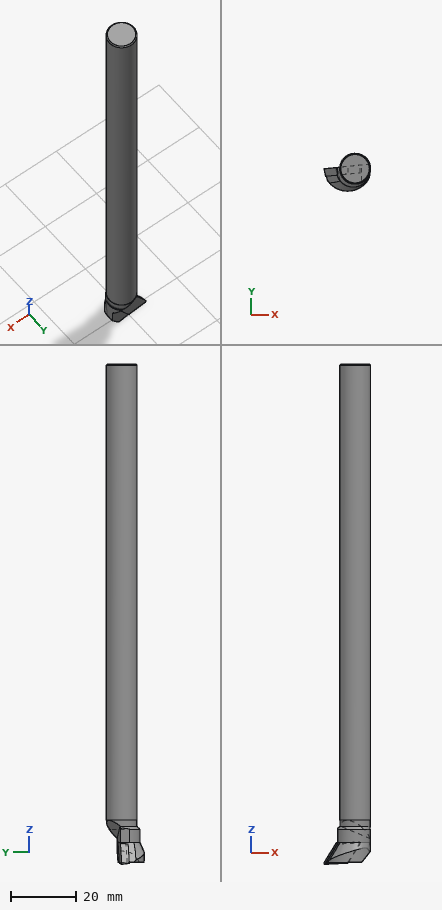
import cadquery as cq
import math


overall_length = 153.65
overall_width = 14.38
overall_depth = 11.68
shank_diameter = 9.51
shank_radius = shank_diameter / 2
shank_bottom = 13.6
top_chamfer = 0.4
neck_diameter = 9.36
neck_bottom = 11.7

head_top = 10.8
head_bottom = 6.7
head_radius = 5.2
head_x = -0.6
head_y = -0.45
side_flat_x = -5.4

holder_bottom = 0.6
foot_radius = 4.78
flare_radius = 6.8
flare_x = -2.15
flare_y = -1.55
sweep_radius = 7.4
sweep_x = -2.3
sweep_back_y = shank_radius - overall_depth
sweep_y = sweep_back_y + sweep_radius
heel_height = 3.5
heel_width = 2.75

chip_face_tilt = 5.7
ramp_height = 9.1
ramp_rise_y = 0.80
ramp_fall_x = 0.50

insert_inscribed_radius = 6.35 / 2
insert_thickness = 2.38
insert_angle = 55.0
insert_clearance = 7.0
end_edge_angle = 3.0
side_edge_angle = end_edge_angle + insert_angle
nose_radius = 0.4
tip_x = foot_radius - overall_width
side_relief = 0.1

cut_size = 40.0

tilt = math.radians(chip_face_tilt)
chip_plane = cq.Plane(
    origin=(tip_x, 0, 0),
    xDir=(math.cos(tilt), math.sin(tilt), 0),
    normal=(math.sin(tilt), -math.cos(tilt), 0),
)


def disc(radius, x, y, bottom, top):
    """Upright cylinder between two heights."""
    return cq.Workplane("XY", origin=(x, y, bottom)).circle(radius).extrude(top - bottom)


def tapered_disc(upper, lower):
    """Solid between two circles, each given as (radius, x, y, z)."""
    wires = [
        cq.Wire.makeCircle(radius, cq.Vector(x, y, z), cq.Vector(0, 0, 1))
        for radius, x, y, z in (upper, lower)
    ]
    return cq.Workplane(cq.Solid.makeLoft(wires, True))


def half_space(point, normal):
    """Large block whose one face passes through the point, on the side the normal points to."""
    plane = cq.Plane(origin=point, normal=normal)
    return cq.Workplane(plane).rect(2 * cut_size, 2 * cut_size).extrude(cut_size)


def insert_outline():
    """Rounded rhombus of the insert's rake face, in the chip plane."""
    core_radius = insert_inscribed_radius - nose_radius
    side = core_radius * 2 / math.sin(math.radians(insert_angle))
    end_edge = math.radians(end_edge_angle)
    side_edge = math.radians(side_edge_angle)
    start = (nose_radius, nose_radius)
    along_end = (side * math.cos(end_edge), side * math.sin(end_edge))
    along_side = (side * math.cos(side_edge), side * math.sin(side_edge))
    corners = [
        start,
        (start[0] + along_end[0], start[1] + along_end[1]),
        (start[0] + along_end[0] + along_side[0], start[1] + along_end[1] + along_side[1]),
        (start[0] + along_side[0], start[1] + along_side[1]),
    ]
    return cq.Workplane(chip_plane).polyline(corners).close().offset2D(nose_radius)


def make_insert():
    """Rhombic plate that narrows away from its rake face."""
    return insert_outline().extrude(insert_thickness, taper=insert_clearance)


def make_flare():
    """Flared foot, trimmed by the upright cylinder and the side relief."""
    flare = tapered_disc(
        (head_radius, head_x, head_y, head_bottom),
        (flare_radius, flare_x, flare_y, holder_bottom),
    )
    flare = flare.intersect(disc(sweep_radius, sweep_x, sweep_y, holder_bottom, head_bottom))
    side_edge = math.radians(side_edge_angle)
    outward = (-math.sin(side_edge), math.cos(side_edge))
    edge_distance = nose_radius - side_relief
    side_point = chip_plane.toWorldCoords(
        (nose_radius + edge_distance * outward[0], nose_radius + edge_distance * outward[1])
    )
    side_lean = math.tan(math.radians(insert_clearance))
    side_normal = chip_plane.toWorldCoords((outward[0], outward[1], side_lean)) - chip_plane.origin
    return flare.cut(half_space(side_point, side_normal))


def heel_space():
    """Space beyond the sloping heel."""
    heel_point = (foot_radius, 0, holder_bottom + heel_height)
    return half_space(heel_point, (heel_height, 0, -heel_width))


def chip_space():
    """Space in front of the chip face, closed above by the ramp."""
    front = half_space(chip_plane.origin, -chip_plane.zDir)
    below_ramp = half_space((0, 0, ramp_height), (-ramp_fall_x, ramp_rise_y, -1))
    return front.intersect(below_ramp)


def make_holder():
    """Shank, neck and flared head in one piece, with the pocket for the insert."""
    shank = disc(shank_radius, 0, 0, shank_bottom, overall_length)
    shank = shank.faces(">Z").chamfer(top_chamfer)
    neck = disc(neck_diameter / 2, 0, 0, neck_bottom, shank_bottom)
    shoulder = tapered_disc(
        (neck_diameter / 2, 0, 0, neck_bottom),
        (head_radius, head_x, head_y, head_top),
    )
    head = disc(head_radius, head_x, head_y, head_bottom, head_top)
    upper = shoulder.union(head).cut(half_space((side_flat_x, 0, 0), (-1, 0, 0)))
    core = disc(foot_radius, 0, 0, holder_bottom, head_top)
    foot = upper.union(core).union(make_flare()).cut(heel_space())
    holder = shank.union(neck).union(foot).cut(chip_space())
    return holder.cut(make_insert())


insert = make_insert()
holder = make_holder()

result = cq.Compound.makeCompound([holder.val(), insert.val()])